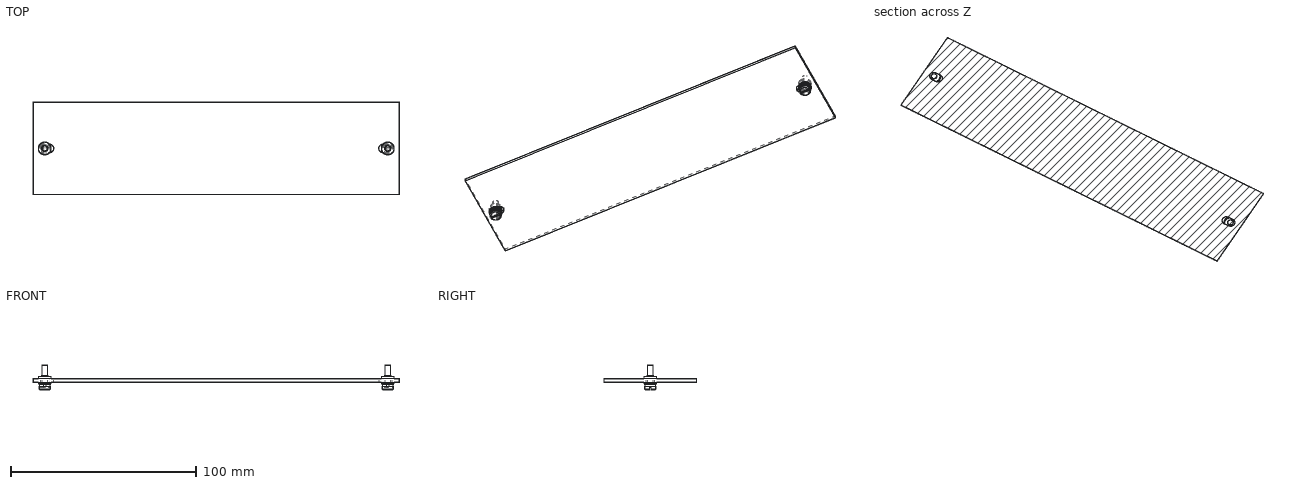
import cadquery as cq

plate_length = 197.7
plate_width = 50.0
plate_thickness = 2.0

slot_length = 7.2
slot_width = 4.5
slot_inward_shift = 1.2

screw_spacing = 185.2
overall_height = 13.54
shank_diameter = 3.2
tip_chamfer = 0.3
sleeve_diameter = 7.0
sleeve_height = 1.2
sleeve_chamfer = 0.15
collar_diameter = 3.45
collar_height = 0.5
washer_diameter = 7.0
washer_thickness = 0.6
ring_height = 0.5
neck_diameter = 5.9
neck_height = 1.25
head_diameter = 6.2
head_height = 1.8
head_chamfer = 0.6
cross_slot_width = 1.1
driver_slot_width = 0.8
driver_slot_depth = 1.2

washer_bottom = -washer_thickness
ring_bottom = washer_bottom - ring_height
neck_bottom = ring_bottom - neck_height
head_bottom = neck_bottom - head_height
sleeve_top = plate_thickness + sleeve_height
collar_top = sleeve_top + collar_height
shank_tip = head_bottom + overall_height


def disc(diameter, bottom, top):
    """Upright cylinder on the Z axis between two heights."""
    return cq.Workplane("XY").workplane(offset=bottom).circle(diameter / 2).extrude(top - bottom)


def block(size_x, size_y, bottom, top):
    """Box centred on the Z axis between two heights."""
    return cq.Workplane("XY").workplane(offset=bottom).rect(size_x, size_y).extrude(top - bottom)


def make_plate():
    """Flat plate with a slot along X near each end."""
    plate = block(plate_length, plate_width, 0, plate_thickness)
    slot_x = screw_spacing / 2 - slot_inward_shift
    return plate.pushPoints([(-slot_x, 0), (slot_x, 0)]).slot2D(slot_length, slot_width).cutThruAll()


def make_screw():
    """Screw on the Z axis, head below the plate and shank tip above it."""
    shank = disc(shank_diameter, ring_bottom, shank_tip).faces(">Z").chamfer(tip_chamfer)
    collar = disc(collar_diameter, sleeve_top, collar_top)
    sleeve = disc(sleeve_diameter, plate_thickness, sleeve_top).faces(">Z").chamfer(sleeve_chamfer)
    washer = disc(washer_diameter, washer_bottom, 0)
    ring = disc(head_diameter, ring_bottom, washer_bottom)
    neck = disc(neck_diameter, neck_bottom, ring_bottom)
    head = disc(head_diameter, head_bottom, neck_bottom).faces("<Z").chamfer(head_chamfer)
    cross_slot = block(cross_slot_width, head_diameter, neck_bottom, ring_bottom)
    driver_slot = block(head_diameter, driver_slot_width, head_bottom, head_bottom + driver_slot_depth)

    screw = shank
    for piece in (collar, sleeve, washer, ring, neck, head):
        screw = screw.union(piece)
    return screw.cut(cross_slot).cut(driver_slot)


result = make_plate()
for side in (-1, 1):
    result = result.union(make_screw().translate((side * screw_spacing / 2, 0, 0)))